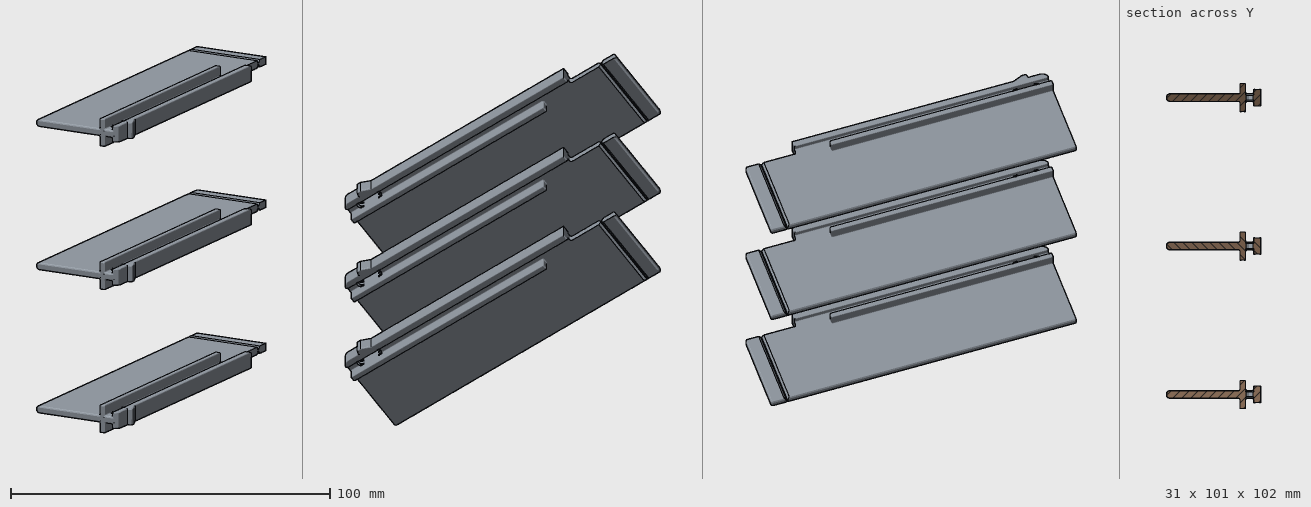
import cadquery as cq
BLADE_COUNT = 3
BLADE_PITCH = 46.5
STACK_HEIGHT = 102.0

PLATE_LENGTH = 101.0
PLATE_THICKNESS = 2.4
HEAD_WIDTH = 25.7
HEAD_LENGTH = 16.7
NOTCH_RADIUS = 0.6
END_RADIUS = 0.6

SCORE_FROM_BACK = 5.2
SCORE_DEPTH = 0.9
SCORE_WIDTH = 1.7
SCORE_BOTTOM_WIDTH = 0.3

BAR_LEFT = 27.3
BAR_WIDTH = 2.3
BAR_HEIGHT = 5.3

OVERALL_WIDTH = 31.0
NUB_CATCH_Y = 6.1
NUB_TIP_FRONT_Y = 6.5
NUB_TIP_BACK_Y = 7.9
NUB_RAMP_END_Y = 11.0
NUB_TIP_RADIUS = 0.3

RIB_CENTER_X = 24.0
RIB_WIDTH = 1.9
RIB_LENGTH = 73.3

EDGE_RADIUS = 0.4

SLOT_LENGTH = 7.9
SLOT_CENTER_Y = 7.9
SLOT_CHAMFER = 0.5

HALF_THICKNESS = PLATE_THICKNESS / 2
SHOULDER_Y = PLATE_LENGTH - HEAD_LENGTH
BAR_RIGHT = BAR_LEFT + BAR_WIDTH
RIB_LEFT = RIB_CENTER_X - RIB_WIDTH / 2
RIB_RIGHT = RIB_CENTER_X + RIB_WIDTH / 2
RIB_HEIGHT = STACK_HEIGHT - (BLADE_COUNT - 1) * BLADE_PITCH
SLOT_WIDTH = BAR_LEFT - RIB_RIGHT
SLOT_CENTER_X = (RIB_RIGHT + BAR_LEFT) / 2


def make_plate():
    """Flat plate with a narrower head, a fully round left edge and rounded ends."""
    outline = (
        cq.Workplane("XY")
        .moveTo(0, 0)
        .lineTo(BAR_LEFT, 0)
        .radiusArc((BAR_RIGHT, BAR_WIDTH), -BAR_WIDTH)
        .lineTo(BAR_RIGHT, SHOULDER_Y)
        .lineTo(HEAD_WIDTH, SHOULDER_Y)
        .lineTo(HEAD_WIDTH, PLATE_LENGTH)
        .lineTo(0, PLATE_LENGTH)
        .close()
    )
    plate = outline.extrude(HALF_THICKNESS, both=True)
    notch_corner = cq.selectors.NearestToPointSelector((HEAD_WIDTH, SHOULDER_Y, 0))
    plate = plate.edges("|Z").edges(notch_corner).fillet(NOTCH_RADIUS)

    profile = (
        cq.Workplane("XZ")
        .moveTo(HALF_THICKNESS, -HALF_THICKNESS)
        .lineTo(BAR_RIGHT, -HALF_THICKNESS)
        .lineTo(BAR_RIGHT, HALF_THICKNESS)
        .lineTo(HALF_THICKNESS, HALF_THICKNESS)
        .threePointArc((0, 0), (HALF_THICKNESS, -HALF_THICKNESS))
        .close()
        .extrude(-PLATE_LENGTH)
    )
    plate = plate.intersect(profile)

    plate = plate.faces("<Y").edges("not >X").fillet(END_RADIUS)
    return plate.faces(">Y").edges().fillet(END_RADIUS)


def make_bar():
    """Edge bar with its latch nub."""
    outline = (
        cq.Workplane("XY")
        .moveTo(BAR_LEFT, 0)
        .radiusArc((BAR_RIGHT, BAR_WIDTH), -BAR_WIDTH)
        .lineTo(BAR_RIGHT, NUB_CATCH_Y)
        .lineTo(OVERALL_WIDTH, NUB_TIP_FRONT_Y)
        .lineTo(OVERALL_WIDTH, NUB_TIP_BACK_Y)
        .lineTo(BAR_RIGHT, NUB_RAMP_END_Y)
        .lineTo(BAR_RIGHT, SHOULDER_Y)
        .lineTo(BAR_LEFT, SHOULDER_Y)
        .close()
    )
    bar = outline.extrude(BAR_HEIGHT / 2, both=True)
    front_left_corner = cq.selectors.NearestToPointSelector((BAR_LEFT, 0, 0))
    bar = bar.edges("|Z").edges(front_left_corner).fillet(END_RADIUS)
    nub_tip_corner = cq.selectors.NearestToPointSelector((OVERALL_WIDTH, NUB_TIP_FRONT_Y, 0))
    bar = bar.edges("|Z").edges(nub_tip_corner).fillet(NUB_TIP_RADIUS)
    return bar.faces("|Z").edges().fillet(EDGE_RADIUS)


def make_rib():
    """Guide rib, rounded on all its edges."""
    rib = (
        cq.Workplane("XY")
        .box(RIB_WIDTH, RIB_LENGTH, RIB_HEIGHT, centered=(True, False, True))
        .translate((RIB_CENTER_X, 0, 0))
    )
    return rib.edges().fillet(EDGE_RADIUS)


def fillet_corners_with_plate(blade, left, right, back):
    """Fillet the inner corners between the plate and what stands on it from left to right."""
    margin = EDGE_RADIUS / 2
    corners = cq.selectors.BoxSelector(
        (left - margin, END_RADIUS, -HALF_THICKNESS - margin),
        (right + margin, back + margin, HALF_THICKNESS + margin),
    )
    return blade.edges(corners).edges("not |Z").fillet(EDGE_RADIUS)


def cut_score_grooves(blade):
    """Cut a score groove across the head in both faces of the plate."""
    groove = (
        cq.Workplane("YZ")
        .moveTo(-SCORE_WIDTH / 2, HALF_THICKNESS)
        .lineTo(-SCORE_BOTTOM_WIDTH / 2, HALF_THICKNESS - SCORE_DEPTH)
        .lineTo(SCORE_BOTTOM_WIDTH / 2, HALF_THICKNESS - SCORE_DEPTH)
        .lineTo(SCORE_WIDTH / 2, HALF_THICKNESS)
        .close()
        .extrude(HEAD_WIDTH)
        .translate((0, PLATE_LENGTH - SCORE_FROM_BACK, 0))
    )
    return blade.cut(groove).cut(groove.mirror("XY"))


def cut_slot(blade):
    """Cut the round-ended slot between rib and bar, with a chamfered rim on each face."""
    slot = (
        cq.Workplane("XY")
        .center(SLOT_CENTER_X, SLOT_CENTER_Y)
        .slot2D(SLOT_LENGTH, SLOT_WIDTH, 90)
        .extrude(PLATE_THICKNESS, both=True)
    )
    rim = (
        cq.Workplane("XY", origin=(SLOT_CENTER_X, SLOT_CENTER_Y, HALF_THICKNESS))
        .slot2D(SLOT_LENGTH + 2 * SLOT_CHAMFER, SLOT_WIDTH + 2 * SLOT_CHAMFER, 90)
        .extrude(-SLOT_CHAMFER, taper=45)
    )
    gap = (
        cq.Workplane("XY")
        .box(SLOT_WIDTH, 2 * SLOT_LENGTH, 2 * PLATE_THICKNESS)
        .translate((SLOT_CENTER_X, SLOT_CENTER_Y, 0))
    )
    rim = rim.intersect(gap)
    return blade.cut(slot).cut(rim).cut(rim.mirror("XY"))


def make_blade():
    blade = make_plate().union(make_bar()).union(make_rib())
    blade = fillet_corners_with_plate(blade, RIB_LEFT, RIB_RIGHT, RIB_LENGTH)
    blade = fillet_corners_with_plate(blade, BAR_LEFT, BAR_LEFT, SHOULDER_Y)
    blade = cut_score_grooves(blade)
    return cut_slot(blade).solids()


blade = make_blade()
blades = []
for level in range(BLADE_COUNT):
    height = (level - (BLADE_COUNT - 1) / 2) * BLADE_PITCH
    blades.append(blade.translate((0, 0, height)).val())

result = cq.Compound.makeCompound(blades)